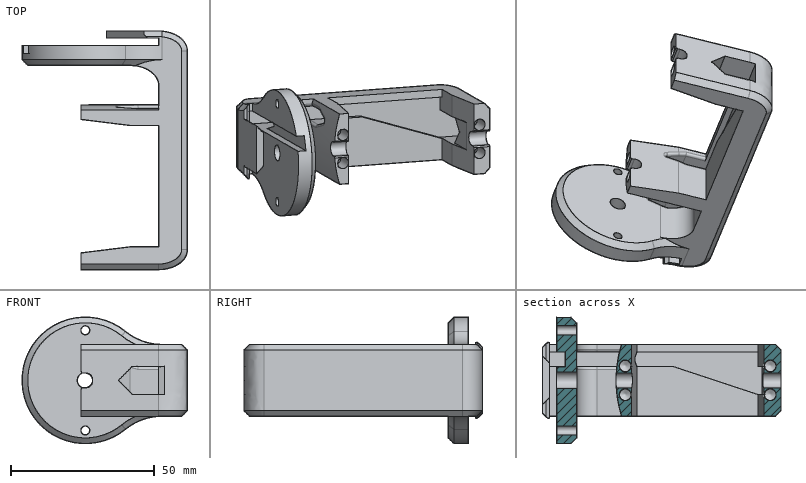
import cadquery as cq
import math

body_width = 25.0
half_width = body_width / 2
frame_length = 83.0
spine_inner_x = 25.5
spine_outer_x = 35.5
corner_length = 7.0
edge_chamfer = 2.0
corner_depth = spine_outer_x - spine_inner_x

tip_x = -1.5
taper_start_x = 15.5
root_thickness = 8.0
taper_drop = 2.1
arm_front_y = 50.1
arm_crest_y = 57.4
arm_edge_y = 55.5
screw_hole_diameter = 4.0
screw_hole_depth = 8.0
screw_hole_offset_z = 5.0
screw_hole_leg_y = 3.8
screw_hole_arm_y = 54.2
drill_half_angle = math.radians(59)
shaft_slot_radius = 2.5
shaft_slot_mouth = 0.5

disc_radius = 22.0
disc_front_y = 71.0
disc_back_y = 78.0
flare_radius = 20.0
root_length = 7.0
disc_bore_diameter = 5.5
pin_hole_diameter = 3.0
pin_hole_offset = 17.4

lip_front_y = 80.5
shoulder_x = 20.4
tongue_end_x = 7.3
tongue_back_half_width = 8.5

channel_floor_z = 4.8
channel_height = 5.0
channel_back_x = 27.5
channel_flat_end_x = 18.4
channel_point_x = 10.2
channel_tip_radius = 0.5
channel_rounding = 1.0
disc_groove_y = 75.1
ramp_start_y = 37.5
ramp_end_y = 8.3
window_half_height = 4.85
window_point_x = 11.5
recess_y = 6.6

channel_ceiling_z = channel_floor_z + channel_height


def y_prism(points, y_start, y_end):
    """Prism along Y from a closed polygon of (x, z) points."""
    plane = cq.Workplane("XZ", origin=(0, y_end, 0))
    return plane.polyline(points).close().extrude(y_end - y_start)


def y_cylinder(x, z, diameter, y_start, y_end):
    plane = cq.Workplane("XZ", origin=(0, y_end, 0))
    return plane.center(x, z).circle(diameter / 2).extrude(y_end - y_start)


def box(x_range, y_range, z_range):
    spans = (x_range, y_range, z_range)
    sizes = [end - start for start, end in spans]
    corner = [start for start, _ in spans]
    return cq.Workplane("XY", origin=corner).box(*sizes, centered=False)


def frame():
    """Spine with its elliptical corners and the front leg."""
    rounded = (
        cq.Workplane("XY", origin=(0, 0, -half_width))
        .moveTo(tip_x, 0)
        .lineTo(spine_inner_x, 0)
        .ellipseArc(corner_depth, corner_length, 270, 360, startAtCurrent=True)
        .lineTo(spine_outer_x, frame_length - corner_length)
        .ellipseArc(corner_depth, corner_length, 0, 90, startAtCurrent=True)
        .lineTo(tip_x, frame_length)
        .close()
        .extrude(body_width)
    )
    outer = rounded.faces("|Z").edges("not(<X)").chamfer(edge_chamfer)
    inside = (
        cq.Workplane("XY", origin=(0, 0, -half_width))
        .moveTo(spine_inner_x, frame_length)
        .lineTo(spine_inner_x, root_thickness)
        .lineTo(taper_start_x, root_thickness)
        .lineTo(tip_x, root_thickness - taper_drop)
        .lineTo(tip_x, frame_length)
        .close()
        .extrude(body_width)
    )
    return outer.cut(inside)


def middle_arm():
    """Tapered arm whose rear face is an arc across the width."""
    plan = (
        cq.Workplane("XY", origin=(0, 0, -half_width))
        .moveTo(tip_x, arm_front_y + taper_drop)
        .lineTo(taper_start_x, arm_front_y)
        .lineTo(spine_inner_x, arm_front_y)
        .lineTo(spine_inner_x, arm_crest_y)
        .lineTo(tip_x, arm_crest_y)
        .close()
        .extrude(body_width)
    )
    crowned = (
        cq.Workplane("YZ", origin=(tip_x, 0, 0))
        .moveTo(arm_front_y, -half_width)
        .lineTo(arm_edge_y, -half_width)
        .threePointArc((arm_crest_y, 0), (arm_edge_y, half_width))
        .lineTo(arm_front_y, half_width)
        .close()
        .extrude(spine_inner_x - tip_x)
    )
    return plan.intersect(crowned)


def flared_disc(y_start, y_end):
    """Disc outline blended into the frame width by two concave arcs."""
    flare_z = half_width + flare_radius
    centre_distance = disc_radius + flare_radius
    flare_x = math.sqrt(centre_distance**2 - flare_z**2)
    touch_x = flare_x * disc_radius / centre_distance
    touch_z = flare_z * disc_radius / centre_distance
    mid_angle = (math.atan2(-flare_z, -flare_x) - math.pi / 2) / 2
    mid_x = flare_x + flare_radius * math.cos(mid_angle)
    mid_z = flare_z + flare_radius * math.sin(mid_angle)
    return (
        cq.Workplane("XZ", origin=(0, y_end, 0))
        .moveTo(flare_x, -half_width)
        .threePointArc((mid_x, -mid_z), (touch_x, -touch_z))
        .threePointArc((-disc_radius, 0), (touch_x, touch_z))
        .threePointArc((mid_x, mid_z), (flare_x, half_width))
        .close()
        .extrude(y_end - y_start)
    )


def disc():
    plate = flared_disc(disc_front_y, disc_back_y)
    return plate.faces("<Y").edges("not(>X)").chamfer(edge_chamfer)


def disc_root():
    """Block joining disc and spine, with an elliptical blend below the disc."""
    start_x = spine_inner_x - corner_depth
    return (
        cq.Workplane("XY", origin=(0, 0, -half_width))
        .moveTo(spine_inner_x, disc_front_y - root_length)
        .ellipseArc(corner_depth, root_length, 0, 90, startAtCurrent=True)
        .lineTo(start_x, disc_back_y)
        .lineTo(spine_inner_x, disc_back_y)
        .close()
        .extrude(body_width)
    )


def wall_flare():
    """Widened spine wall between the disc and the lip."""
    spine_side = box(
        (spine_inner_x, spine_outer_x), (disc_back_y, lip_front_y), (-disc_radius, disc_radius)
    )
    return flared_disc(disc_back_y, lip_front_y).intersect(spine_side)


def lip():
    """Rear lip: bevelled shoulders and a dovetail tongue."""
    plate = flared_disc(lip_front_y, frame_length)
    plate = plate.faces(">Y").edges("not(>X)").chamfer(edge_chamfer)
    thickness = frame_length - lip_front_y
    shoulders = (
        cq.Workplane("XY", origin=(0, 0, -disc_radius))
        .moveTo(spine_outer_x, lip_front_y)
        .lineTo(shoulder_x + thickness / 2, lip_front_y)
        .lineTo(shoulder_x, lip_front_y + thickness / 2)
        .lineTo(shoulder_x, frame_length)
        .lineTo(spine_outer_x, frame_length)
        .close()
        .extrude(2 * disc_radius)
    )
    tongue_front_half_width = tongue_back_half_width - thickness
    tongue = (
        cq.Workplane("YZ", origin=(tongue_end_x, 0, 0))
        .moveTo(lip_front_y, -tongue_front_half_width)
        .lineTo(frame_length, -tongue_back_half_width)
        .lineTo(frame_length, tongue_back_half_width)
        .lineTo(lip_front_y, tongue_front_half_width)
        .close()
        .extrude(spine_inner_x - tongue_end_x)
    )
    return plate.intersect(shoulders).union(tongue)


def wire_channel():
    """Channel along the spine, through the arm and up to the lip."""
    channel = y_prism(
        [
            (channel_point_x, channel_floor_z + channel_height / 2),
            (channel_flat_end_x, channel_floor_z),
            (channel_back_x, channel_floor_z),
            (channel_back_x, channel_ceiling_z),
            (channel_flat_end_x, channel_ceiling_z),
        ],
        root_thickness,
        lip_front_y,
    )
    return channel.edges("<X").fillet(channel_tip_radius)


def round_channel_mouths(body):
    """Round the rims of the channel openings from the arm's front to the disc's front."""
    margin = 0.1
    low_corner = (channel_point_x - margin, arm_front_y - margin, channel_floor_z - margin)
    high_corner = (spine_inner_x + margin, disc_front_y + margin, channel_ceiling_z + margin)
    near_channel = cq.selectors.BoxSelector(low_corner, high_corner, boundingbox=True)
    tunnel_low = (channel_point_x - margin, arm_front_y + taper_drop, channel_floor_z - margin)
    tunnel_high = (spine_inner_x - margin, arm_edge_y - margin, channel_ceiling_z + margin)
    inside_arm = cq.selectors.BoxSelector(tunnel_low, tunnel_high)
    mouth_edges = near_channel - inside_arm
    return body.edges(mouth_edges).fillet(channel_rounding)


def disc_groove():
    return box(
        (-disc_radius, channel_back_x),
        (disc_groove_y, lip_front_y),
        (channel_floor_z, channel_ceiling_z),
    )


def channel_ramp():
    """Channel floor sloping down to the window in the front leg."""
    return (
        cq.Workplane("YZ", origin=(spine_inner_x, 0, 0))
        .moveTo(ramp_start_y, channel_floor_z)
        .lineTo(ramp_end_y, -window_half_height)
        .lineTo(recess_y, -window_half_height)
        .lineTo(recess_y, channel_floor_z)
        .close()
        .extrude(channel_back_x - spine_inner_x)
    )


def leg_window():
    """Pointed window through the front leg, with a shallow recess behind it."""
    window = y_prism(
        [
            (window_point_x, 0),
            (window_point_x + window_half_height, -window_half_height),
            (channel_back_x, -window_half_height),
            (channel_back_x, window_half_height),
            (window_point_x + window_half_height, window_half_height),
        ],
        0,
        root_thickness,
    )
    recess = box(
        (tip_x, channel_back_x),
        (recess_y, root_thickness),
        (-window_half_height, window_half_height),
    )
    return window.union(recess)


def shaft_slot():
    """Round-ended slot through both tips, with a chamfered mouth."""
    mouth = shaft_slot_radius + shaft_slot_mouth
    slot = y_prism(
        [
            (tip_x, -mouth),
            (tip_x + shaft_slot_mouth, -shaft_slot_radius),
            (0, -shaft_slot_radius),
            (0, shaft_slot_radius),
            (tip_x + shaft_slot_mouth, shaft_slot_radius),
            (tip_x, mouth),
        ],
        0,
        arm_crest_y,
    )
    return slot.union(y_cylinder(0, 0, 2 * shaft_slot_radius, 0, arm_crest_y))


def screw_hole(y, z):
    """Blind drilled hole along X from a tip, with a conical bottom."""
    radius = screw_hole_diameter / 2
    cone_end = screw_hole_depth + radius / math.tan(drill_half_angle)
    return (
        cq.Workplane("XY", origin=(tip_x, y, z))
        .polyline([(0, 0), (0, radius), (screw_hole_depth, radius), (cone_end, 0)])
        .close()
        .revolve(360, (0, 0, 0), (1, 0, 0))
    )


result = frame().union(disc_root()).union(disc()).union(middle_arm())
result = round_channel_mouths(result.cut(wire_channel()))
result = result.union(wall_flare()).union(lip())
result = result.cut(disc_groove()).cut(channel_ramp())
result = result.cut(leg_window()).cut(shaft_slot())
result = result.cut(y_cylinder(0, 0, disc_bore_diameter, disc_front_y, disc_back_y))
for side in (-1, 1):
    pin_z = side * pin_hole_offset
    result = result.cut(y_cylinder(0, pin_z, pin_hole_diameter, disc_front_y, disc_back_y))
    for hole_y in (screw_hole_leg_y, screw_hole_arm_y):
        result = result.cut(screw_hole(hole_y, side * screw_hole_offset_z))